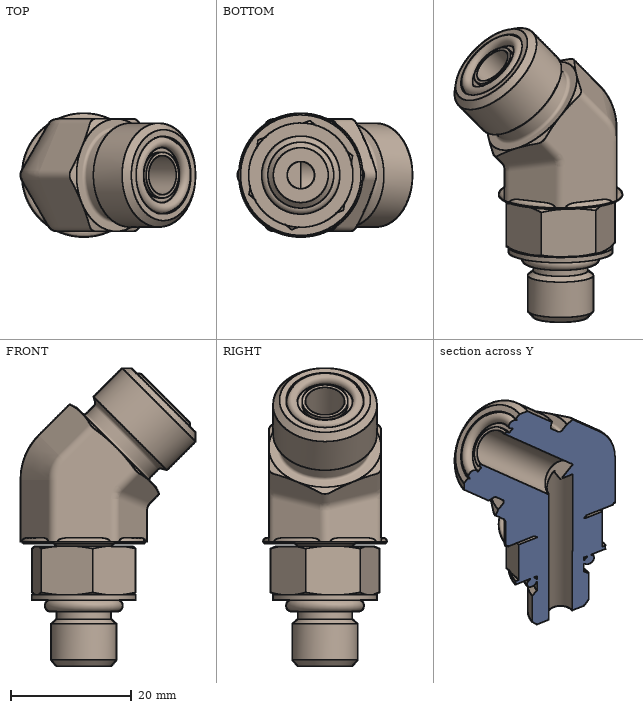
import cadquery as cq
import math


def hexagon_corner_radius(apothem):
    return apothem / math.cos(math.radians(30))


TOTAL_HEIGHT = 49.6
BEND_ANGLE = 45.0
HEAD_DIRECTION = cq.Vector(math.sin(math.radians(BEND_ANGLE)), 0, math.cos(math.radians(BEND_ANGLE)))

BODY_END = 7.65
NECK_RADIUS = 7.55
NECK_FILLET = 0.5
HEAD_RADIUS = 17.3 / 2
HEAD_SHOULDER = 17.65
HEAD_CHAMFER = 1.1
HEAD_UNDERCUT_START = 10.25
HEAD_UNDERCUT_END = 10.9
HEAD_UNDERCUT_FILLET = 0.5
HEAD_FACE = HEAD_SHOULDER + HEAD_CHAMFER
HEAD_BORE_RADIUS = 6.5 / 2

RIM_RISE = (
    HEAD_SHOULDER * math.cos(math.radians(BEND_ANGLE))
    + HEAD_RADIUS * math.sin(math.radians(BEND_ANGLE))
)
BEND_HEIGHT = TOTAL_HEIGHT - RIM_RISE

FACE_RING_INNER_RADIUS = 4.55
FACE_RING_OUTER_RADIUS = 6.4
FACE_RING_SINK = 0.45
FACE_RING_CENTRE = HEAD_FACE - FACE_RING_SINK
GROOVE_OUTER_RADIUS = 6.45
RING_SEAT_DEPTH = 0.5
GROOVE_FLOOR = FACE_RING_CENTRE - RING_SEAT_DEPTH
LIP_RADIUS = 3.8
LIP_DROP = 0.25
LIP_TOP = HEAD_FACE - LIP_DROP

BODY_ACROSS_FLATS = 18.7
BODY_APOTHEM = BODY_ACROSS_FLATS / 2
BODY_CORNER_RADIUS = hexagon_corner_radius(BODY_APOTHEM)
BODY_EDGE_FILLET = 1.6
INNER_BEND_FILLET = 2.2
BODY_END_CHAMFER_SLOPE = 0.35

FLANGE_RADIUS = 10.3
FLANGE_BOTTOM = 20.4
FLANGE_CHAMFER = 0.3
FLANGE_EDGE = FLANGE_BOTTOM + FLANGE_CHAMFER
FLANGE_ROUND = 0.7

STUD_RADIUS = 10.95 / 2
STUD_NECK_RADIUS = 4.55
STUD_TIP_CHAMFER = 1.05
STUD_SHOULDER = 7.05
STUD_TOP = 7.85
STUD_BORE_RADIUS = 4.5 / 2
RING_EMBED = 0.05
STUD_RING_INNER_RADIUS = STUD_NECK_RADIUS - RING_EMBED
STUD_RING_OUTER_RADIUS = 6.5
STUD_RING_WIRE_RADIUS = (STUD_RING_OUTER_RADIUS - STUD_RING_INNER_RADIUS) / 2
WASHER_RADIUS = 8.7
WASHER_BOTTOM = 11.0
WASHER_THICKNESS = 0.9
NUT_ACROSS_FLATS = 15.92
NUT_BOTTOM = WASHER_BOTTOM + WASHER_THICKNESS
NUT_TOP = 19.95
NUT_TURN = -20.5
NUT_CHAMFER_RADIUS = 8.15
NUT_CHAMFER_ANGLE = 20.0
STUB_TOP_RADIUS = 5.0
STUB_BOTTOM_RADIUS = 4.55

SELECT_MARGIN = 0.25


def revolve_profile(points):
    """Turn an outline of (radius, height) points about the Z axis."""
    return cq.Workplane("XZ").polyline(points).close().revolve(360, (0, 0), (0, 1))


def seal_ring(inner_radius, outer_radius, height):
    """Round-wire ring about the Z axis with its wire centred at the given height."""
    mean_radius = (inner_radius + outer_radius) / 2
    wire_radius = (outer_radius - inner_radius) / 2
    return cq.Workplane("XZ").moveTo(-mean_radius, height).circle(wire_radius).revolve(360, (0, 0), (0, 1))


def tilt(shape):
    """Move a shape from the Z axis onto the inclined axis through the bend centre."""
    return shape.rotate((0, 0, 0), (0, 1, 0), BEND_ANGLE).translate((0, 0, BEND_HEIGHT))


def hexagon(corner_radius, bottom, height):
    return cq.Workplane("XY").workplane(offset=bottom).polygon(6, 2 * corner_radius).extrude(height)


def box_around(point):
    """Selector for edges centred within a small box around a point."""
    low = tuple(value - SELECT_MARGIN for value in point)
    high = tuple(value + SELECT_MARGIN for value in point)
    return cq.selectors.BoxSelector(low, high)


def elbow_body():
    """Two hexagonal legs joined by a turned outer bend, with rounded edges and a chamfered end."""
    lower = hexagon(BODY_CORNER_RADIUS, FLANGE_EDGE, BEND_HEIGHT - FLANGE_EDGE)
    upper = tilt(hexagon(BODY_CORNER_RADIUS, 0, BODY_END))
    half_corner = BODY_CORNER_RADIUS / 2
    wedge = (
        cq.Workplane("XY")
        .polyline([
            (0, -BODY_APOTHEM), (-half_corner, -BODY_APOTHEM), (-BODY_CORNER_RADIUS, 0),
            (-half_corner, BODY_APOTHEM), (0, BODY_APOTHEM),
        ])
        .close()
        .revolve(BEND_ANGLE, (0, 0), (0, 1))
        .translate((0, 0, BEND_HEIGHT))
    )
    body = lower.union(upper).union(wedge).clean()
    body = round_inner_bend(body)
    body = round_long_edges(body)
    return body.intersect(end_chamfer_envelope())


def round_inner_bend(body):
    """Round the two creases where the legs meet on the inside of the bend."""
    half_bend = math.radians(BEND_ANGLE / 2)
    crease_x = (BODY_CORNER_RADIUS + BODY_CORNER_RADIUS / 2) / 2
    crease_z = BEND_HEIGHT - crease_x * math.tan(half_bend)
    crease_y = BODY_APOTHEM / 2
    near_creases = box_around((crease_x, crease_y, crease_z)) + box_around((crease_x, -crease_y, crease_z))
    return body.edges(near_creases).fillet(INNER_BEND_FILLET)


def round_long_edges(body):
    """Round the six hexagon edges that run the length of both legs."""
    along_lower = cq.selectors.ParallelDirSelector(cq.Vector(0, 0, 1))
    along_upper = cq.selectors.ParallelDirSelector(HEAD_DIRECTION)
    around_bend = cq.selectors.TypeSelector("CIRCLE")
    return body.edges(along_lower + along_upper + around_bend).fillet(BODY_EDGE_FILLET)


def end_chamfer_envelope():
    """Space kept by the body: everything below a shallow cone at its upper end."""
    wide = 2 * TOTAL_HEIGHT
    cone_drop = (wide - BODY_APOTHEM) * BODY_END_CHAMFER_SLOPE
    cone = revolve_profile([
        (0, -wide),
        (wide, -wide),
        (wide, BODY_END - cone_drop),
        (BODY_APOTHEM, BODY_END),
        (0, BODY_END),
    ])
    return tilt(cone)


def flange():
    """Disc under the body whose rim rounds over into the hexagon flats."""
    return (
        cq.Workplane("XZ")
        .moveTo(0, FLANGE_BOTTOM)
        .lineTo(FLANGE_RADIUS - FLANGE_CHAMFER, FLANGE_BOTTOM)
        .lineTo(FLANGE_RADIUS, FLANGE_EDGE)
        .radiusArc((FLANGE_RADIUS - FLANGE_ROUND, FLANGE_EDGE + FLANGE_ROUND), -FLANGE_ROUND)
        .lineTo(0, FLANGE_EDGE + FLANGE_ROUND)
        .close()
        .revolve(360, (0, 0), (0, 1))
    )


def head():
    """Neck and threaded head, with a seal ring standing in a face groove."""
    ring_seat_radius = (FACE_RING_INNER_RADIUS + FACE_RING_OUTER_RADIUS) / 2
    turned = revolve_profile([
        (0, 0),
        (NECK_RADIUS, 0),
        (NECK_RADIUS, HEAD_UNDERCUT_START),
        (HEAD_RADIUS, HEAD_UNDERCUT_END),
        (HEAD_RADIUS, HEAD_SHOULDER),
        (HEAD_RADIUS - HEAD_CHAMFER, HEAD_FACE),
        (GROOVE_OUTER_RADIUS, HEAD_FACE),
        (GROOVE_OUTER_RADIUS, FACE_RING_CENTRE),
        (ring_seat_radius, FACE_RING_CENTRE),
        (ring_seat_radius, GROOVE_FLOOR),
        (LIP_RADIUS, GROOVE_FLOOR),
        (LIP_RADIUS, LIP_TOP),
        (0, LIP_TOP),
    ])
    near_undercut = box_around((0, 0, HEAD_UNDERCUT_START))
    turned = turned.edges(near_undercut).fillet(HEAD_UNDERCUT_FILLET)
    ring = seal_ring(FACE_RING_INNER_RADIUS, FACE_RING_OUTER_RADIUS, FACE_RING_CENTRE)
    return tilt(turned.union(ring))


def neck_fillet():
    """Concave round from the body end up to the neck."""
    foot_radius = NECK_RADIUS + NECK_FILLET
    ring = (
        cq.Workplane("XZ")
        .moveTo(0, BODY_END)
        .lineTo(foot_radius, BODY_END)
        .radiusArc((NECK_RADIUS, BODY_END + NECK_FILLET), NECK_FILLET)
        .lineTo(0, BODY_END + NECK_FILLET)
        .close()
        .revolve(360, (0, 0), (0, 1))
    )
    return tilt(ring)


def stud():
    """Threaded stud with its neck, washer and the stub joining nut and body."""
    turned = revolve_profile([
        (0, 0),
        (STUD_NECK_RADIUS, 0),
        (STUD_RADIUS, STUD_TIP_CHAMFER),
        (STUD_RADIUS, STUD_SHOULDER),
        (STUD_NECK_RADIUS, STUD_TOP),
        (STUD_NECK_RADIUS, WASHER_BOTTOM),
        (WASHER_RADIUS, WASHER_BOTTOM),
        (WASHER_RADIUS, NUT_BOTTOM),
        (STUB_BOTTOM_RADIUS, NUT_BOTTOM),
        (STUB_BOTTOM_RADIUS, NUT_TOP),
        (STUB_TOP_RADIUS, FLANGE_BOTTOM),
        (STUB_TOP_RADIUS, FLANGE_EDGE),
        (0, FLANGE_EDGE),
    ])
    ring_height = WASHER_BOTTOM + RING_EMBED - STUD_RING_WIRE_RADIUS
    ring = seal_ring(STUD_RING_INNER_RADIUS, STUD_RING_OUTER_RADIUS, ring_height)
    return turned.union(ring)


def nut():
    """Hexagon nut with both ends turned to a shallow cone."""
    corner_radius = hexagon_corner_radius(NUT_ACROSS_FLATS / 2)
    drop = (corner_radius - NUT_CHAMFER_RADIUS) * math.tan(math.radians(NUT_CHAMFER_ANGLE))
    envelope = revolve_profile([
        (0, NUT_BOTTOM),
        (NUT_CHAMFER_RADIUS, NUT_BOTTOM),
        (corner_radius, NUT_BOTTOM + drop),
        (corner_radius, NUT_TOP - drop),
        (NUT_CHAMFER_RADIUS, NUT_TOP),
        (0, NUT_TOP),
    ])
    blank = hexagon(corner_radius, NUT_BOTTOM, NUT_TOP - NUT_BOTTOM)
    return blank.rotate((0, 0, 0), (0, 0, 1), NUT_TURN).intersect(envelope)


def flow_passage():
    """Narrow bore up the stud meeting the wider bore of the head."""
    stud_bore = cq.Workplane("XY").circle(STUD_BORE_RADIUS).extrude(BEND_HEIGHT)
    head_bore = cq.Workplane("XY").circle(HEAD_BORE_RADIUS).extrude(HEAD_FACE)
    return stud_bore.union(tilt(head_bore))


result = (
    elbow_body()
    .union(flange())
    .union(head())
    .union(neck_fillet())
    .union(nut())
    .union(stud())
    .cut(flow_passage())
)